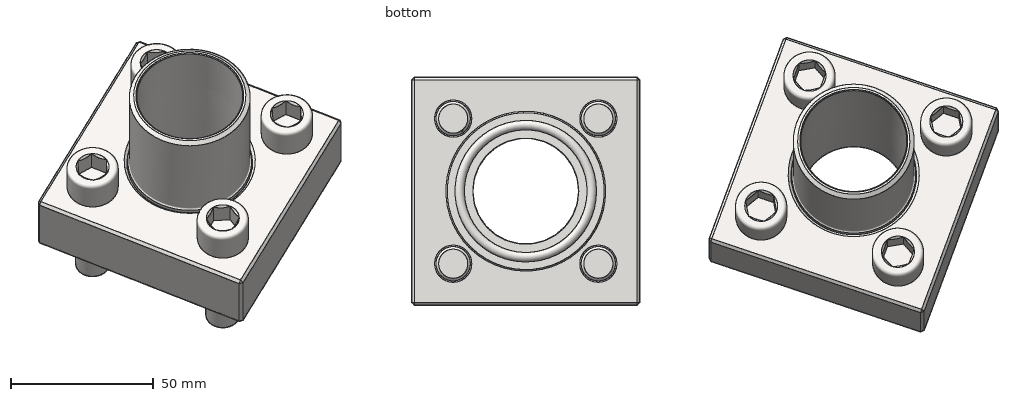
import cadquery as cq
import math

FLANGE_SIDE = 80.0
FLANGE_THICKNESS = 24.0
FLANGE_CHAMFER = 1.0
FLANGE_BORE_DIAMETER = 44.0

TUBE_DIAMETER = 42.4
TUBE_RISE = 38.0
BEVEL_HEIGHT = 1.0
RIM_DIAMETER = 39.35
RIM_INNER_CHAMFER = 0.3
HUB_DIAMETER = 43.5
HUB_RISE = 0.2
COLLAR_DIAMETER = 56.0
COLLAR_CHAMFER = 0.5
COLLAR_DROP = 2.0
RECESS_DEPTH = 10.0
TUBE_BORE_DIAMETER = 37.2
END_BORE_DIAMETER = 37.0
STRAIGHT_BORE_DEPTH = 19.0

GROOVE_INNER_DIAMETER = 43.0
GROOVE_OUTER_DIAMETER = 49.6
ORING_PROTRUSION = 1.0

SCREW_SPACING = 50.9
SHANK_DIAMETER = 12.0
SHANK_LENGTH = 45.0
SHANK_CHAMFER = 0.9
CLEARANCE_DIAMETER = 13.0
HEAD_DIAMETER = 18.0
HEAD_HEIGHT = SHANK_DIAMETER
HEAD_TOP_FILLET = 1.2
HEAD_BOTTOM_FILLET = 0.8
HEX_CORNER_DIAMETER = 11.5
SOCKET_DEPTH = 8.0
SOCKET_LEAD_IN_ANGLE = 45.0

COLLAR_FACE_Z = -COLLAR_DROP
TUBE_TOP_Z = FLANGE_THICKNESS + TUBE_RISE
ORING_SECTION_DIAMETER = (GROOVE_OUTER_DIAMETER - GROOVE_INNER_DIAMETER) / 2
ORING_CENTRE_RADIUS = (GROOVE_OUTER_DIAMETER + GROOVE_INNER_DIAMETER) / 4
GROOVE_DEPTH = ORING_SECTION_DIAMETER - ORING_PROTRUSION

HALF_SPACING = SCREW_SPACING / 2
SCREW_PLACES = [
    (HALF_SPACING, HALF_SPACING),
    (-HALF_SPACING, HALF_SPACING),
    (-HALF_SPACING, -HALF_SPACING),
    (HALF_SPACING, -HALF_SPACING),
]


def cylinder(diameter, bottom, height):
    return cq.Workplane("XY").workplane(offset=bottom).circle(diameter / 2).extrude(height)


def make_flange():
    block = (
        cq.Workplane("XY")
        .box(FLANGE_SIDE, FLANGE_SIDE, FLANGE_THICKNESS, centered=(True, True, False))
        .edges()
        .chamfer(FLANGE_CHAMFER)
    )
    bored = block.cut(cylinder(FLANGE_BORE_DIAMETER, 0, FLANGE_THICKNESS))
    chamfered = bored.faces(">Z").edges("%CIRCLE").chamfer(FLANGE_CHAMFER)
    flange = chamfered.cut(cylinder(COLLAR_DIAMETER, 0, RECESS_DEPTH))
    for x, y in SCREW_PLACES:
        flange = flange.cut(cylinder(CLEARANCE_DIAMETER, 0, FLANGE_THICKNESS).translate((x, y, 0)))
    return flange


def make_nipple():
    tube_radius = TUBE_DIAMETER / 2
    tube_bore_radius = TUBE_BORE_DIAMETER / 2
    end_bore_radius = END_BORE_DIAMETER / 2
    hub_radius = HUB_DIAMETER / 2
    collar_radius = COLLAR_DIAMETER / 2
    hub_top_z = FLANGE_THICKNESS + HUB_RISE
    hub_fillet = hub_radius - tube_radius
    fillet_sag = hub_fillet * (1 - math.sqrt(0.5))
    fillet_middle = (tube_radius + fillet_sag, hub_top_z + fillet_sag)
    profile = (
        cq.Workplane("XZ")
        .moveTo(end_bore_radius, COLLAR_FACE_Z)
        .lineTo(collar_radius - COLLAR_CHAMFER, COLLAR_FACE_Z)
        .lineTo(collar_radius, COLLAR_FACE_Z + COLLAR_CHAMFER)
        .lineTo(collar_radius, RECESS_DEPTH)
        .lineTo(hub_radius, RECESS_DEPTH)
        .lineTo(hub_radius, hub_top_z)
        .threePointArc(fillet_middle, (tube_radius, hub_top_z + hub_fillet))
        .lineTo(tube_radius, TUBE_TOP_Z - BEVEL_HEIGHT)
        .lineTo(RIM_DIAMETER / 2, TUBE_TOP_Z)
        .lineTo(tube_bore_radius + RIM_INNER_CHAMFER, TUBE_TOP_Z)
        .lineTo(tube_bore_radius, TUBE_TOP_Z - RIM_INNER_CHAMFER)
        .lineTo(tube_bore_radius, TUBE_TOP_Z - STRAIGHT_BORE_DEPTH)
        .close()
    )
    body = profile.revolve(360, (0, 0, 0), (0, 1, 0))
    groove = cylinder(GROOVE_OUTER_DIAMETER, COLLAR_FACE_Z, GROOVE_DEPTH).cut(
        cylinder(GROOVE_INNER_DIAMETER, COLLAR_FACE_Z, GROOVE_DEPTH)
    )
    return body.cut(groove)


def make_oring():
    centre_z = COLLAR_FACE_Z + GROOVE_DEPTH - ORING_SECTION_DIAMETER / 2
    return (
        cq.Workplane("XZ")
        .center(ORING_CENTRE_RADIUS, centre_z)
        .circle(ORING_SECTION_DIAMETER / 2)
        .revolve(360, (-ORING_CENTRE_RADIUS, 0, 0), (-ORING_CENTRE_RADIUS, 1, 0))
    )


def make_socket():
    """Hexagonal socket with a conical lead-in, cut down from Z = HEAD_HEIGHT."""
    hexagon = (
        cq.Workplane("XY")
        .workplane(offset=HEAD_HEIGHT - SOCKET_DEPTH)
        .polygon(6, HEX_CORNER_DIAMETER)
        .extrude(SOCKET_DEPTH)
    )
    cone_radius = HEX_CORNER_DIAMETER / 2
    cone_depth = cone_radius * math.tan(math.radians(SOCKET_LEAD_IN_ANGLE))
    lead_in = (
        cq.Workplane("XZ")
        .polyline([(0, HEAD_HEIGHT - cone_depth), (cone_radius, HEAD_HEIGHT), (0, HEAD_HEIGHT)])
        .close()
        .revolve(360, (0, 0, 0), (0, 1, 0))
    )
    return hexagon.union(lead_in)


def make_screw():
    """Screw on the Z axis with the underside of its head at Z = 0."""
    head = cylinder(HEAD_DIAMETER, 0, HEAD_HEIGHT)
    head = head.faces(">Z").edges().fillet(HEAD_TOP_FILLET)
    head = head.faces("<Z").edges().fillet(HEAD_BOTTOM_FILLET)
    shank = cylinder(SHANK_DIAMETER, -SHANK_LENGTH, SHANK_LENGTH)
    shank = shank.faces("<Z").edges().chamfer(SHANK_CHAMFER)
    return head.union(shank).cut(make_socket())


flange = make_flange()
nipple = make_nipple()
oring = make_oring()

screws = []
for quarter_turns, (x, y) in enumerate(SCREW_PLACES):
    turned = make_screw().rotate((0, 0, 0), (0, 0, 1), 90 * quarter_turns)
    screws.append(turned.translate((x, y, FLANGE_THICKNESS)))

result = cq.Compound.makeCompound(
    [flange.val(), nipple.val(), oring.val(), *[screw.val() for screw in screws]]
)